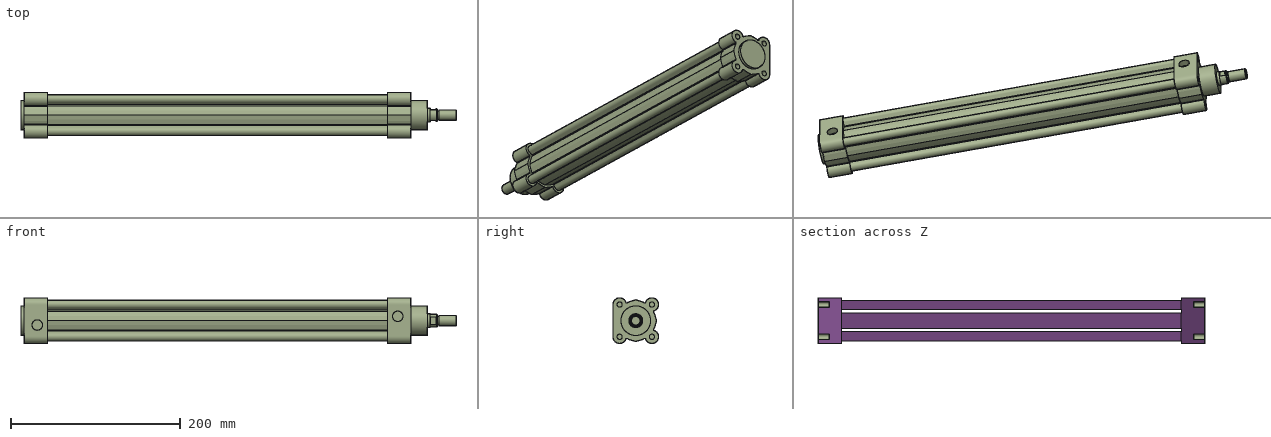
import cadquery as cq
import math

TOTAL_LENGTH = 513.0
REAR_BOSS_LENGTH = 4.0
BODY_LENGTH = 455.0
CAP_LENGTH = 27.5
FRONT_BOSS_LENGTH = 19.5
ROD_STEP = 481.5
FLATS_START = 482.0
ROD_SHOULDER = 490.5
NECK_LENGTH = 1.5
REAR_CAP_START = REAR_BOSS_LENGTH
REAR_CAP_END = REAR_CAP_START + CAP_LENGTH
FRONT_CAP_FACE = REAR_CAP_START + BODY_LENGTH
FRONT_CAP_START = FRONT_CAP_FACE - CAP_LENGTH
FRONT_BOSS_END = FRONT_CAP_FACE + FRONT_BOSS_LENGTH

CAP_SIZE = 54.0
LOBE_OFFSET = 19.0
CAP_LOBE_RADIUS = CAP_SIZE / 2 - LOBE_OFFSET
CORNERS = [(sy * LOBE_OFFSET, sz * LOBE_OFFSET) for sy in (-1, 1) for sz in (-1, 1)]

CAP_PEAK = 24.5
CAP_SHOULDER = (7.0, 22.5)
CAP_FLOOR_HEIGHT = 21.0
CAP_FLOOR_START = 10.5
CAP_FLOOR_END = 12.0

BARREL_PEAK = 21.5
BARREL_SHOULDER = (5.0, 20.5)
BARREL_FLOOR_HEIGHT = 18.5
BARREL_FLOOR_START = 11.0
BARREL_FLOOR_END = 12.5
BARREL_LOBE_RADIUS = 5.0
FLANK_TOP_ANGLE = 140.0

BOSS_RADIUS = 17.5
SCREW_HOLE_RADIUS = 3.0
SCREW_HOLE_DEPTH = 13.0

PORT_RADIUS = 6.0
PORT_DEPTH = 7.5
PORT_INSET = 15.5
PORT_HEIGHT = 5.0

ROD_RADIUS = 8.0
ROD_STEP_HEIGHT = 0.5
ROD_END_RADIUS = ROD_RADIUS - ROD_STEP_HEIGHT
ROD_CHAMFER = 1.0
FLATS_WIDTH = 13.0
FLATS_LENGTH = 6.0
NECK_RADIUS = 5.0
THREAD_RADIUS = 6.0
THREAD_CHAMFER = 1.0


def plane_at(x):
    """Plane across the axis with local x along Y, local y along Z and its normal along X."""
    return cq.Workplane("YZ", origin=(x, 0, 0))


def disc(x, length, radius):
    return plane_at(x).circle(radius).extrude(length)


def corner_cylinders(x, length, radius):
    return plane_at(x).pushPoints(CORNERS).circle(radius).extrude(length)


def peaked_core(x, length, peak, half_side):
    """Four equal peaked sides about the axis; half_side runs from a corner lobe towards the peak."""
    other_half = [(-y, z) for y, z in reversed(half_side)]
    outline = [(0, 0), *half_side, (0, peak), *other_half]
    side = plane_at(x).polyline(outline).close().extrude(length)
    core = side
    for quarter in (1, 2, 3):
        core = core.union(side.rotate((0, 0, 0), (1, 0, 0), 90 * quarter))
    return core


def cap_block(x):
    """Peaked core with four screw lobes and one flat side facing -Y."""
    half_side = [
        (LOBE_OFFSET, LOBE_OFFSET),
        (CAP_FLOOR_END, CAP_FLOOR_HEIGHT),
        (CAP_FLOOR_START, CAP_FLOOR_HEIGHT),
        CAP_SHOULDER,
    ]
    core = peaked_core(x, CAP_LENGTH, CAP_PEAK, half_side)
    flat_side = cq.Workplane("XY").box(
        CAP_LENGTH, CAP_SIZE / 2, 2 * LOBE_OFFSET, centered=(False, False, True)
    ).translate((x, -CAP_SIZE / 2, 0))
    lobes = corner_cylinders(x, CAP_LENGTH, CAP_LOBE_RADIUS)
    return core.union(lobes).union(flat_side)


def port(x, z):
    """Blind port cutter entering the flat -Y side."""
    return cq.Workplane("XZ", origin=(x, -CAP_SIZE / 2, z)).circle(PORT_RADIUS).extrude(-PORT_DEPTH)


def make_rear_cap():
    cap = cap_block(REAR_CAP_START).union(disc(0, REAR_CAP_START, BOSS_RADIUS))
    cap = cap.cut(corner_cylinders(REAR_CAP_START, SCREW_HOLE_DEPTH, SCREW_HOLE_RADIUS))
    return cap.cut(port(REAR_CAP_START + PORT_INSET, -PORT_HEIGHT))


def make_front_cap():
    cap = cap_block(FRONT_CAP_START).union(disc(FRONT_CAP_FACE, FRONT_BOSS_LENGTH, BOSS_RADIUS))
    cap = cap.cut(corner_cylinders(FRONT_CAP_FACE, -SCREW_HOLE_DEPTH, SCREW_HOLE_RADIUS))
    cap = cap.cut(port(FRONT_CAP_FACE - PORT_INSET, PORT_HEIGHT))
    return cap.cut(disc(FRONT_CAP_START, FRONT_BOSS_END - FRONT_CAP_START, ROD_RADIUS))


def make_barrel():
    """Extruded profile whose corner tubes run between the two end caps."""
    length = FRONT_CAP_START - REAR_CAP_END
    flank_angle = math.radians(FLANK_TOP_ANGLE)
    flank_top = (
        LOBE_OFFSET + BARREL_LOBE_RADIUS * math.cos(flank_angle),
        LOBE_OFFSET + BARREL_LOBE_RADIUS * math.sin(flank_angle),
    )
    half_side = [
        (LOBE_OFFSET, LOBE_OFFSET),
        flank_top,
        (BARREL_FLOOR_END, BARREL_FLOOR_HEIGHT),
        (BARREL_FLOOR_START, BARREL_FLOOR_HEIGHT),
        BARREL_SHOULDER,
    ]
    core = peaked_core(REAR_CAP_END, length, BARREL_PEAK, half_side)
    return core.union(corner_cylinders(REAR_CAP_END, length, BARREL_LOBE_RADIUS))


def make_piston_rod():
    """Rod through the front cap, with stepped-down wrench flats, a thread relief and a threaded end."""
    neck_end = ROD_SHOULDER + NECK_LENGTH
    wrench_end = disc(ROD_STEP, ROD_SHOULDER - ROD_STEP, ROD_END_RADIUS)
    wrench_end = wrench_end.faces(">X").chamfer(ROD_CHAMFER)
    flat_cutter = cq.Workplane("XY").box(
        FLATS_LENGTH, ROD_RADIUS, 2 * ROD_RADIUS, centered=(False, True, True)
    )
    flat_offset = (FLATS_WIDTH + ROD_RADIUS) / 2
    for side in (-1, 1):
        wrench_end = wrench_end.cut(flat_cutter.translate((FLATS_START, side * flat_offset, 0)))
    neck = disc(ROD_SHOULDER, NECK_LENGTH, NECK_RADIUS)
    thread = disc(neck_end, TOTAL_LENGTH - neck_end, THREAD_RADIUS)
    thread = thread.faces(">X").chamfer(THREAD_CHAMFER)
    rod = disc(FRONT_CAP_START, ROD_STEP - FRONT_CAP_START, ROD_RADIUS)
    return rod.union(wrench_end).union(neck).union(thread)


rear_cap = make_rear_cap()
barrel = make_barrel()
front_cap = make_front_cap()
piston_rod = make_piston_rod()

result = cq.Compound.makeCompound([
    rear_cap.val(),
    barrel.val(),
    front_cap.val(),
    piston_rod.val(),
])